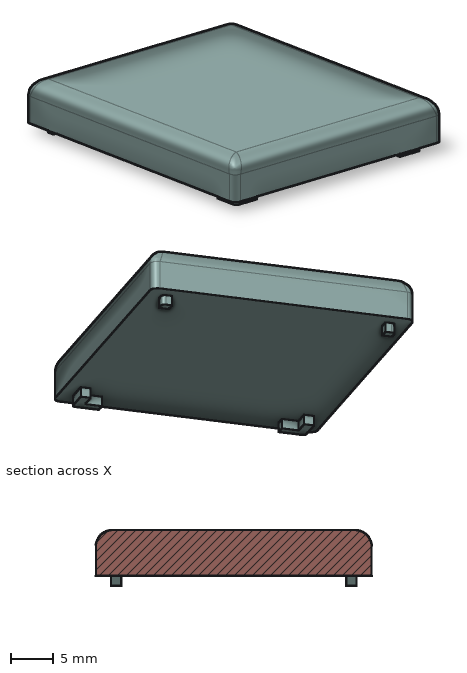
import cadquery as cq

length = 37.6
width = 32.6
total_height = 6.6
foot_height = 1.2
body_height = total_height - foot_height
corner_radius = 0.95
top_radius = 2.0

foot_inset = 1.8
foot_thickness = 1.25
foot_arm = 3.3
foot_corner_radius = 0.5


def make_body():
    """Block with rounded vertical corners and a larger round along its top edges."""
    block = cq.Workplane("XY").box(length, width, body_height, centered=(True, True, False))
    return block.edges("|Z").fillet(corner_radius).faces(">Z").edges().fillet(top_radius)


def make_foot(arm, side_x, side_y):
    """Corner foot: an L with the given arm, or a square post when the arm equals its thickness.

    side_x and side_y (+1 or -1) choose the corner of the plate.
    """
    corner_x = side_x * (length / 2 - foot_inset)
    corner_y = side_y * (width / 2 - foot_inset)

    def block(size_x, size_y):
        center_x = corner_x - side_x * size_x / 2
        center_y = corner_y - side_y * size_y / 2
        base = cq.Workplane("XY").center(center_x, center_y)
        return base.rect(size_x, size_y).extrude(-foot_height)

    foot = block(arm, foot_thickness)
    if arm > foot_thickness:
        foot = foot.union(block(foot_thickness, arm))
    outer_edge = cq.selectors.NearestToPointSelector((corner_x, corner_y, -foot_height / 2))
    return foot.edges("|Z").edges(outer_edge).fillet(foot_corner_radius)


result = make_body()
for side_y in (-1, 1):
    result = result.union(make_foot(foot_thickness, -1, side_y))
    result = result.union(make_foot(foot_arm, 1, side_y))